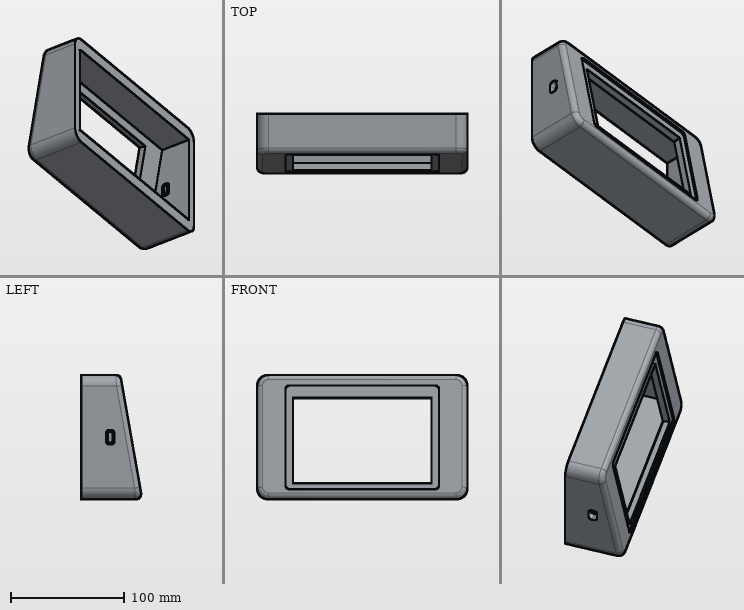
import cadquery as cq
import math

WIDTH = 186.0
HEIGHT = 110.0
BASE_DEPTH = 54.0
LEAN_ANGLE = 10.0
CORNER_RADIUS = 10.0
FRONT_EDGE_RADIUS = 5.0

SIDE_WALL = 8.0
FLOOR_WALL = 12.0
FRONT_WALL = 8.0

RECESS_WIDTH = 136.0
RECESS_HEIGHT = 93.0
RECESS_DEPTH = 1.5
RECESS_CORNER_RADIUS = 4.0
WINDOW_WIDTH = 122.0
WINDOW_HEIGHT = 77.0
WINDOW_OFFSET = -2.5

PORT_DEPTH_FROM_BACK = 25.6
PLUG_WIDTH = 7.6
PLUG_HEIGHT = 12.8
PLUG_RADIUS = 3.2
PLUG_POCKET_DEPTH = 7.0
SOCKET_WIDTH = 4.0
SOCKET_HEIGHT = 9.4
SOCKET_RADIUS = 1.2

LEAN_TANGENT = math.tan(math.radians(LEAN_ANGLE))
LEAN_COSINE = math.cos(math.radians(LEAN_ANGLE))


def front_depth(z):
    """Distance from the back plane to the leaning face at height z."""
    return BASE_DEPTH - (z + HEIGHT / 2) * LEAN_TANGENT


def wedge(width, half_height, inset):
    """Wedge from the back plane to a face lying inset behind the leaning face."""
    setback = inset / LEAN_COSINE
    bottom_depth = front_depth(-half_height) - setback
    top_depth = front_depth(half_height) - setback
    side_outline = [
        (0, -half_height),
        (-bottom_depth, -half_height),
        (-top_depth, half_height),
        (0, half_height),
    ]
    return cq.Workplane("YZ").polyline(side_outline).close().extrude(width / 2, both=True)


def outer_body():
    body = wedge(WIDTH, HEIGHT / 2, 0)
    body = body.edges("|Y").fillet(CORNER_RADIUS)
    return body.faces("<Y").edges().fillet(FRONT_EDGE_RADIUS)


def cavity():
    return wedge(WIDTH - 2 * SIDE_WALL, HEIGHT / 2 - FLOOR_WALL, FRONT_WALL)


def face_plane():
    """Plane on the leaning face at mid-height, its normal pointing out of the part."""
    lean = math.radians(LEAN_ANGLE)
    return cq.Plane(
        origin=(0, -front_depth(0), 0),
        xDir=(1, 0, 0),
        normal=(0, -math.cos(lean), math.sin(lean)),
    )


def screen_recess():
    recess = cq.Workplane(face_plane()).rect(RECESS_WIDTH, RECESS_HEIGHT)
    recess = recess.extrude(-RECESS_DEPTH)
    corner_edges = cq.selectors.ParallelDirSelector(face_plane().zDir)
    return recess.edges(corner_edges).fillet(RECESS_CORNER_RADIUS)


def window():
    opening = cq.Workplane(face_plane()).center(0, WINDOW_OFFSET).rect(WINDOW_WIDTH, WINDOW_HEIGHT)
    return opening.extrude(-FRONT_WALL)


def port_slot(width, height, radius, depth):
    """Round-cornered slot cut inward from the outside of the -X wall."""
    slot = cq.Workplane("YZ", origin=(-WIDTH / 2, -PORT_DEPTH_FROM_BACK, 0)).rect(width, height)
    return slot.extrude(depth).edges("|X").fillet(radius)


result = (
    outer_body()
    .cut(cavity())
    .cut(screen_recess())
    .cut(window())
    .cut(port_slot(PLUG_WIDTH, PLUG_HEIGHT, PLUG_RADIUS, PLUG_POCKET_DEPTH))
    .cut(port_slot(SOCKET_WIDTH, SOCKET_HEIGHT, SOCKET_RADIUS, SIDE_WALL))
)